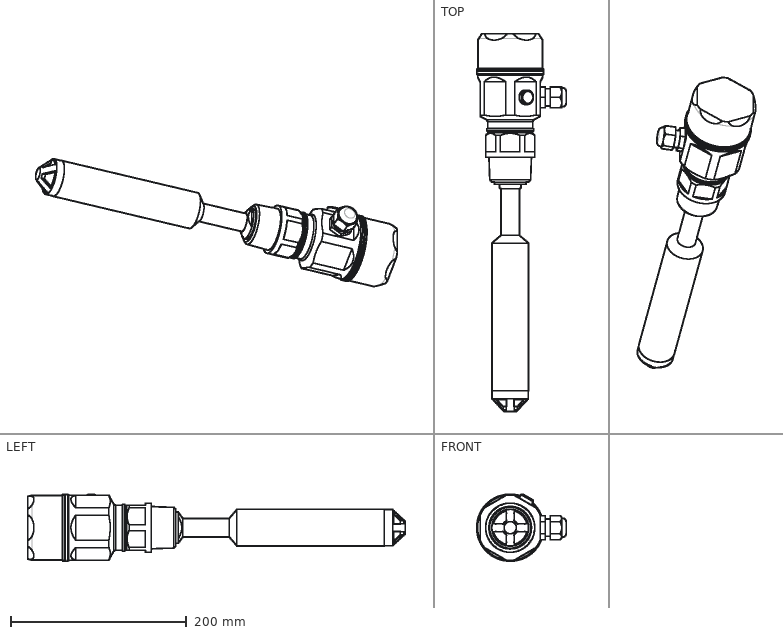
import cadquery as cq


OVERALL_LENGTH = 430.05
OVERALL_WIDTH = 102.1
MAX_RADIUS = 38.22

HEX_SIDES = 6
HEX_ANGLE = 360 / HEX_SIDES

CAP_RADIUS = 36.9
CAP_END = 39.4
CAP_CHAMFER_LENGTH = 4.9
CAP_CHAMFER_DEPTH = 1.2
CAP_FACET_LENGTH = 7.3
CAP_FACET_DEPTH = 4.5

RIM_RADIUS = MAX_RADIUS
RIM_BEVEL = 0.8
RIM_GROOVE_START = 42.2
RIM_GROOVE_WIDTH = 0.8
RIM_END = 45.5
RIM_TAPER_END = 47.1

HOUSING_RADIUS = 37.1
HOUSING_APOTHEM = 34.3
HOUSING_RAMP_START = 49.4
HOUSING_RAMP_END = 54.9
HOUSING_END = 92.6
SHOULDER_END = 98.0
SHOULDER_RADIUS = 27.0

NECK_RADIUS = 25.7
NECK_START = 100.3
SEAL_START = 107.8
SEAL_END = 111.0
SEAL_RADIUS = 26.9
SEAL_BEVEL = 0.6

NUT_RADIUS = 28.0
NUT_APOTHEM = 25.7
NUT_START = 112.8
NUT_BEVEL_LENGTH = 2.8
NUT_BEVEL_DEPTH = 2.8
NUT_FLAT_END = 134.1
FLANGE_END = 140.8

THREAD_TOP_RADIUS = 24.3
THREAD_END_RADIUS = 23.4
THREAD_END = 166.4
NOSE_RADIUS = 21.0
NOSE_END = 168.8
STEP_RADIUS = 18.0
STEP_END = 171.4
COLLAR_RADIUS = 11.2
COLLAR_END = 176.4
COLLAR_FLAT_WIDTH = 24.8

ROD_RADIUS = 10.65
ROD_END = 229.5
PROBE_RADIUS = 21.0
PROBE_START = 238.2
PROBE_END = 415.3
GUARD_RADIUS = 20.8
GUARD_START = 406.1

TIP_RADIUS = 7.0
TIP_THICKNESS = 6.0
CAGE_INNER_RADIUS = 17.0
CAGE_INNER_TIP_RADIUS = 9.3
WINDOW_OUTER_RADIUS = 19.5
WINDOW_INNER_RADIUS = 9.0
STRUT_WIDTH = 8.9

GLAND_STATION = 72.4
GLAND_HEX_RADIUS = 13.8
GLAND_BASE_END = 40.0
GLAND_NECK_RADIUS = 10.0
GLAND_NECK_END = 45.4
GLAND_HEX_END = 58.6
GLAND_HEX_BEVEL = 1.8
GLAND_TIP_RADIUS = 11.0
GLAND_TIP_ROUND = 4.6
GLAND_END = OVERALL_WIDTH - MAX_RADIUS

PLUG_RADIUS = 8.2
PLUG_TOP = 40.2
PLUG_BEVEL = 1.4

OVERLAP = 5.0
AXIS_START = (0, 0, 0)
AXIS_END = (0, 1, 0)


def turned(outline):
    """Solid of revolution about Y from (radius, station) points."""
    points = [(radius, -station) for radius, station in outline]
    return cq.Workplane("XY").polyline(points).close().revolve(360, AXIS_START, AXIS_END)


def cut_flats(body, outline, first_angle):
    """Mill equal flats around Y; the outline gives (radius, station) of the removed stock."""
    points = [(radius, -station) for radius, station in outline]
    cutter = cq.Workplane("XY").polyline(points).close().extrude(MAX_RADIUS, both=True)
    for index in range(HEX_SIDES):
        angle = first_angle + index * HEX_ANGLE
        body = body.cut(cutter.rotate(AXIS_START, AXIS_END, angle))
    return body


def make_cap():
    cap = turned([
        (0, 0),
        (CAP_RADIUS - CAP_CHAMFER_DEPTH, 0),
        (CAP_RADIUS, CAP_CHAMFER_LENGTH),
        (CAP_RADIUS, CAP_END),
        (0, CAP_END),
    ])
    facet_stock = [
        (CAP_RADIUS - CAP_FACET_DEPTH, 0),
        (CAP_RADIUS, CAP_FACET_LENGTH),
        (CAP_RADIUS, 0),
    ]
    return cut_flats(cap, facet_stock, 0)


def make_rim():
    groove_end = RIM_GROOVE_START + RIM_GROOVE_WIDTH
    return turned([
        (0, CAP_END),
        (CAP_RADIUS, CAP_END),
        (RIM_RADIUS, CAP_END + RIM_BEVEL),
        (RIM_RADIUS, RIM_GROOVE_START),
        (CAP_RADIUS, RIM_GROOVE_START),
        (CAP_RADIUS, groove_end),
        (RIM_RADIUS, groove_end),
        (RIM_RADIUS, RIM_END),
        (HOUSING_RADIUS, RIM_TAPER_END),
        (0, RIM_TAPER_END),
    ])


def make_housing():
    housing = turned([
        (0, RIM_TAPER_END),
        (HOUSING_RADIUS, RIM_TAPER_END),
        (HOUSING_RADIUS, HOUSING_END),
        (SHOULDER_RADIUS, SHOULDER_END),
        (NECK_RADIUS, NECK_START),
        (0, NECK_START),
    ])
    flat_stock = [
        (HOUSING_RADIUS, HOUSING_RAMP_START),
        (HOUSING_APOTHEM, HOUSING_RAMP_END),
        (HOUSING_APOTHEM, SHOULDER_END),
        (HOUSING_RADIUS + OVERLAP, SHOULDER_END),
        (HOUSING_RADIUS + OVERLAP, HOUSING_RAMP_START),
    ]
    return cut_flats(housing, flat_stock, 0)


def make_neck():
    return turned([
        (0, NECK_START),
        (NECK_RADIUS, NECK_START),
        (NECK_RADIUS, SEAL_START),
        (SEAL_RADIUS, SEAL_START + SEAL_BEVEL),
        (SEAL_RADIUS, SEAL_END - SEAL_BEVEL),
        (NECK_RADIUS, SEAL_END),
        (NECK_RADIUS, NUT_START),
        (0, NUT_START),
    ])


def make_nut():
    nut = turned([
        (0, NUT_START),
        (NUT_RADIUS - NUT_BEVEL_DEPTH, NUT_START),
        (NUT_RADIUS, NUT_START + NUT_BEVEL_LENGTH),
        (NUT_RADIUS, FLANGE_END),
        (0, FLANGE_END),
    ])
    flat_stock = [
        (NUT_APOTHEM, NUT_START),
        (NUT_APOTHEM, NUT_FLAT_END),
        (NUT_RADIUS + OVERLAP, NUT_FLAT_END),
        (NUT_RADIUS + OVERLAP, NUT_START),
    ]
    return cut_flats(nut, flat_stock, HEX_ANGLE / 2)


def make_thread_body():
    """Tapered body whose conical collar has two flats facing +X and -X."""
    body = turned([
        (0, FLANGE_END),
        (THREAD_TOP_RADIUS, FLANGE_END),
        (THREAD_END_RADIUS, THREAD_END),
        (NOSE_RADIUS, NOSE_END),
        (STEP_RADIUS, NOSE_END),
        (STEP_RADIUS, STEP_END),
        (0, STEP_END),
    ])
    collar = turned([
        (0, STEP_END),
        (STEP_RADIUS, STEP_END),
        (COLLAR_RADIUS, COLLAR_END),
        (0, COLLAR_END),
    ])
    step_face = cq.Workplane("XZ", origin=(0, -STEP_END, 0))
    between_flats = step_face.rect(COLLAR_FLAT_WIDTH, 2 * STEP_RADIUS).extrude(COLLAR_END - STEP_END)
    return body.union(collar.intersect(between_flats))


def make_probe():
    return turned([
        (0, COLLAR_END),
        (ROD_RADIUS, COLLAR_END),
        (ROD_RADIUS, ROD_END),
        (PROBE_RADIUS, PROBE_START),
        (PROBE_RADIUS, GUARD_START),
        (GUARD_RADIUS, GUARD_START),
        (GUARD_RADIUS, PROBE_END),
        (TIP_RADIUS, OVERALL_LENGTH),
        (0, OVERALL_LENGTH),
    ])


def make_cage_opening():
    """Conical cavity inside the tip and the four windows between the crossing struts."""
    tip_start = OVERALL_LENGTH - TIP_THICKNESS
    cavity = turned([
        (0, PROBE_END),
        (CAGE_INNER_RADIUS, PROBE_END),
        (CAGE_INNER_TIP_RADIUS, tip_start),
        (0, tip_start),
    ])
    depth = OVERALL_LENGTH - PROBE_END
    floor = cq.Workplane("XZ", origin=(0, -PROBE_END, 0))
    windows = floor.circle(WINDOW_OUTER_RADIUS).circle(WINDOW_INNER_RADIUS).extrude(depth)
    strut_length = 2 * PROBE_RADIUS
    windows = windows.cut(floor.rect(strut_length, STRUT_WIDTH).extrude(depth))
    windows = windows.cut(floor.rect(STRUT_WIDTH, strut_length).extrude(depth))
    return cavity.union(windows)


def gland_plane(start):
    return cq.Workplane("YZ", origin=(start, -GLAND_STATION, 0))


def make_gland_hexagon(start, end):
    """Hexagon prism along X with corners on +Z and -Z."""
    prism = gland_plane(start).polygon(HEX_SIDES, 2 * GLAND_HEX_RADIUS).extrude(end - start)
    centre = (start, -GLAND_STATION, 0)
    return prism.rotate(centre, (end, -GLAND_STATION, 0), HEX_ANGLE / 2)


def make_cross_cylinder(start, end, radius):
    """Cylinder along X at the gland station."""
    return gland_plane(start).circle(radius).extrude(end - start)


def make_gland():
    root = HOUSING_APOTHEM - OVERLAP
    base = make_gland_hexagon(root, GLAND_BASE_END)
    neck = make_cross_cylinder(root, GLAND_NECK_END, GLAND_NECK_RADIUS)
    bevelled = make_cross_cylinder(GLAND_NECK_END, GLAND_HEX_END, GLAND_HEX_RADIUS)
    bevelled = bevelled.faces(">X").chamfer(GLAND_HEX_BEVEL)
    nut = make_gland_hexagon(GLAND_NECK_END, GLAND_HEX_END).intersect(bevelled)
    tip = make_cross_cylinder(GLAND_NECK_END, GLAND_END, GLAND_TIP_RADIUS)
    tip = tip.faces(">X").edges().fillet(GLAND_TIP_ROUND)
    return base.union(neck).union(nut).union(tip)


def make_plug():
    """Bevelled plug, formed on the gland axis and then swung onto the next flat."""
    root = HOUSING_APOTHEM - OVERLAP
    plug = make_cross_cylinder(root, PLUG_TOP, PLUG_RADIUS)
    plug = plug.faces(">X").chamfer(PLUG_BEVEL)
    return plug.rotate(AXIS_START, AXIS_END, -HEX_ANGLE)


result = make_cap()
for make_section in (make_rim, make_housing, make_neck, make_nut, make_thread_body, make_probe):
    result = result.union(make_section())
result = result.cut(make_cage_opening())
result = result.union(make_gland()).union(make_plug())